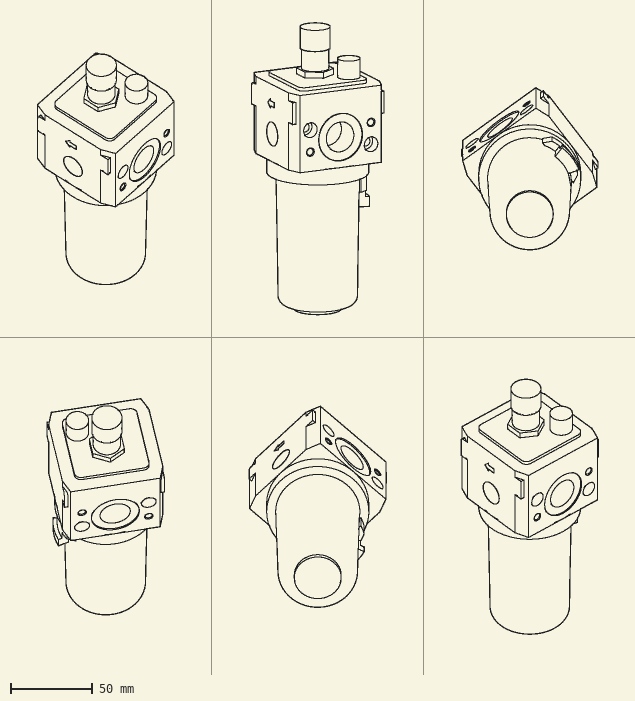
import cadquery as cq
import math

BOWL_BOTTOM = 3.0
RING_BOTTOM = 87.3
BODY_BOTTOM = 97.5
BODY_TOP = 146.8
PLATE_TOP = 149.0
NUT_TOP = 152.7
PLUG_TOP = 160.7
KNOB_BOTTOM = 165.5
KNOB_TOP = 179.2

BODY_WIDTH = 63.0
HALF_WIDTH = BODY_WIDTH / 2
CORNER_X = 9.1
CORNER_Y = 3.4

PLATE_WIDTH = 47.0
PLATE_RADIUS = 4.1
KNOB_X = -3.5
KNOB_DIAMETER = 18.6
NECK_DIAMETER = 17.0
NUT_CORNERS = 23.0
PLUG_X = 11.6
PLUG_Y = 15.6
PLUG_DIAMETER = 14.0

BOWL_TOP_RADIUS = 26.0
BOWL_BOTTOM_RADIUS = 24.5
BOWL_FILLET = 6.0
FOOT_DIAMETER = 29.0

LABEL_HALF_LENGTH = 28.3
LABEL_BOTTOM = 127.8
LABEL_TOP = 141.7
LABEL_THICKNESS = 5.4
LABEL_CORNER = 2.2
MARK_DEPTH = 0.2
ARROW_Z = 134.2
ARROW_TIP_X = -6.0
ARROW_NECK_X = -2.5
ARROW_TAIL_X = 2.7
ARROW_HEAD_HALF = 3.0
ARROW_SHAFT_HALF = 1.6
DISC_DIAMETER = 15.0
DISC_Z = 115.2

PORT_Z = 116.8
PORT_DIAMETER = 19.0
PORT_DEPTH = 18.0
PORT_SEAT_DIAMETER = 30.1
PORT_SEAT_DEPTH = 0.9
DRILL_ANGLE = 118.0
MOUNT_Y = 21.0
MOUNT_RISE = 7.0
BOLT_DIAMETER = 5.5
BOLT_HEAD_DIAMETER = 9.3
BOLT_HEAD_DEPTH = 7.2
SCREW_DIAMETER = 4.3
SCREW_CHAMFER = 0.5
SCREW_DEPTH = 9.0

LATCH_TOP = 86.2
LATCH_BLOCK_BOTTOM = 75.5
LATCH_LIP_TOP = 70.0
LATCH_LIP_BOTTOM = 63.6
LATCH_RADIUS = 30.1
LATCH_LIP_RADIUS = 32.6
LATCH_INNER_RADIUS = 21.5
LATCH_HALF_ANGLE = 15.5
BLOCK_ROOT_Y = 21.7
BLOCK_ROOT_HALF = 16.0
BLOCK_TIP_HALF = 13.3


def cylinder(diameter, bottom, top, x=0.0, y=0.0):
    """Upright cylinder between two heights."""
    base = cq.Workplane("XY", origin=(x, y, bottom))
    return base.circle(diameter / 2).extrude(top - bottom)


def make_body():
    edge_x = HALF_WIDTH - CORNER_X
    edge_y = HALF_WIDTH - CORNER_Y
    outline = [
        (-edge_x, -HALF_WIDTH),
        (edge_x, -HALF_WIDTH),
        (HALF_WIDTH, -edge_y),
        (HALF_WIDTH, edge_y),
        (edge_x, HALF_WIDTH),
        (-edge_x, HALF_WIDTH),
        (-HALF_WIDTH, edge_y),
        (-HALF_WIDTH, -edge_y),
    ]
    base = cq.Workplane("XY", origin=(0, 0, BODY_BOTTOM))
    return base.polyline(outline).close().extrude(BODY_TOP - BODY_BOTTOM)


def make_top_parts():
    plate = (
        cq.Workplane("XY", origin=(0, 0, BODY_TOP))
        .rect(PLATE_WIDTH, PLATE_WIDTH)
        .extrude(PLATE_TOP - BODY_TOP)
        .edges("|Z")
        .fillet(PLATE_RADIUS)
    )
    nut = (
        cq.Workplane("XY", origin=(KNOB_X, 0, PLATE_TOP))
        .polygon(6, NUT_CORNERS)
        .extrude(NUT_TOP - PLATE_TOP)
    )
    neck = cylinder(NECK_DIAMETER, NUT_TOP, KNOB_BOTTOM, KNOB_X)
    knob = cylinder(KNOB_DIAMETER, KNOB_BOTTOM, KNOB_TOP, KNOB_X)
    plug = cylinder(PLUG_DIAMETER, PLATE_TOP, PLUG_TOP, PLUG_X, PLUG_Y)
    return plate.union(nut).union(neck).union(knob).union(plug)


def make_bowl():
    ring = cylinder(BODY_WIDTH, RING_BOTTOM, BODY_BOTTOM)
    profile = [
        (0, BOWL_BOTTOM),
        (BOWL_BOTTOM_RADIUS, BOWL_BOTTOM),
        (BOWL_TOP_RADIUS, RING_BOTTOM),
        (0, RING_BOTTOM),
    ]
    cup = cq.Workplane("XZ").polyline(profile).close().revolve(360, (0, 0), (0, 1))
    cup = cup.faces("<Z").edges().fillet(BOWL_FILLET)
    foot = cylinder(FOOT_DIAMETER, 0, BOWL_BOTTOM)
    return ring.union(cup).union(foot)


def make_labels():
    """Front and back strips, each rounded at its upper corner on the -X side."""
    front = (
        cq.Workplane("XY")
        .box(2 * LABEL_HALF_LENGTH, LABEL_THICKNESS, LABEL_TOP - LABEL_BOTTOM)
        .translate((0, (LABEL_THICKNESS - BODY_WIDTH) / 2, (LABEL_TOP + LABEL_BOTTOM) / 2))
        .edges("|Y and <X and >Z")
        .fillet(LABEL_CORNER)
    )
    return front.union(front.mirror("XZ"))


def make_front_marks():
    """Shallow flow arrow and round recess in the front face."""
    arrow = [
        (ARROW_TIP_X, ARROW_Z),
        (ARROW_NECK_X, ARROW_Z + ARROW_HEAD_HALF),
        (ARROW_NECK_X, ARROW_Z + ARROW_SHAFT_HALF),
        (ARROW_TAIL_X, ARROW_Z + ARROW_SHAFT_HALF),
        (ARROW_TAIL_X, ARROW_Z - ARROW_SHAFT_HALF),
        (ARROW_NECK_X, ARROW_Z - ARROW_SHAFT_HALF),
        (ARROW_NECK_X, ARROW_Z - ARROW_HEAD_HALF),
    ]
    face = cq.Workplane("XZ", origin=(0, -HALF_WIDTH, 0))
    arrow_cut = face.polyline(arrow).close().extrude(-MARK_DEPTH)
    disc_cut = face.center(0, DISC_Z).circle(DISC_DIAMETER / 2).extrude(-MARK_DEPTH)
    return arrow_cut.union(disc_cut)


def blind_hole(diameter, depth, y, z, chamfer=0.0):
    """Drilled hole with a conical end, entering from the -X face, its mouth optionally chamfered."""
    radius = diameter / 2
    point = radius / math.tan(math.radians(DRILL_ANGLE / 2))
    profile = [(0, 0), (0, radius + chamfer)]
    if chamfer > 0:
        profile.append((chamfer, radius))
    profile += [(depth, radius), (depth + point, 0)]
    hole = cq.Workplane("XY").polyline(profile).close().revolve(360, (0, 0), (1, 0))
    return hole.translate((-HALF_WIDTH, y, z))


def make_port_cuts():
    """Port, its seat, bolt holes and screw holes, repeated on both X faces."""
    face = cq.Workplane("YZ", origin=(-HALF_WIDTH, 0, PORT_Z))
    cuts = blind_hole(PORT_DIAMETER, PORT_DEPTH, 0, PORT_Z)
    cuts = cuts.union(face.circle(PORT_SEAT_DIAMETER / 2).extrude(PORT_SEAT_DEPTH))
    for side in (1, -1):
        bolt = face.center(side * MOUNT_Y, -side * MOUNT_RISE)
        cuts = cuts.union(bolt.circle(BOLT_DIAMETER / 2).extrude(BODY_WIDTH))
        cuts = cuts.union(bolt.circle(BOLT_HEAD_DIAMETER / 2).extrude(BOLT_HEAD_DEPTH))
        screw_z = PORT_Z + side * MOUNT_RISE
        screw = blind_hole(SCREW_DIAMETER, SCREW_DEPTH, side * MOUNT_Y, screw_z, SCREW_CHAMFER)
        cuts = cuts.union(screw)
    return cuts.union(cuts.mirror("YZ"))


def latch_sector(radius, bottom, top):
    """Sector centred on +Y, running from inside the bowl wall out to a radius."""
    angle = math.radians(LATCH_HALF_ANGLE)
    side_x = math.sin(angle)
    side_y = math.cos(angle)
    inner = LATCH_INNER_RADIUS
    return (
        cq.Workplane("XY", origin=(0, 0, bottom))
        .moveTo(-inner * side_x, inner * side_y)
        .lineTo(-radius * side_x, radius * side_y)
        .threePointArc((0, radius), (radius * side_x, radius * side_y))
        .lineTo(inner * side_x, inner * side_y)
        .close()
        .extrude(top - bottom)
    )


def make_latch():
    tip_y = math.sqrt(LATCH_RADIUS**2 - BLOCK_TIP_HALF**2)
    block = (
        cq.Workplane("XY", origin=(0, 0, LATCH_BLOCK_BOTTOM))
        .moveTo(-BLOCK_ROOT_HALF, BLOCK_ROOT_Y)
        .lineTo(-BLOCK_TIP_HALF, tip_y)
        .threePointArc((0, LATCH_RADIUS), (BLOCK_TIP_HALF, tip_y))
        .lineTo(BLOCK_ROOT_HALF, BLOCK_ROOT_Y)
        .close()
        .extrude(LATCH_TOP - LATCH_BLOCK_BOTTOM)
    )
    stem = latch_sector(LATCH_RADIUS, LATCH_LIP_TOP, LATCH_BLOCK_BOTTOM)
    lip = latch_sector(LATCH_LIP_RADIUS, LATCH_LIP_BOTTOM, LATCH_LIP_TOP)
    return block.union(stem).union(lip)


result = make_body().union(make_labels()).union(make_top_parts())
result = result.union(make_bowl()).union(make_latch())
result = result.cut(make_front_marks()).cut(make_port_cuts())